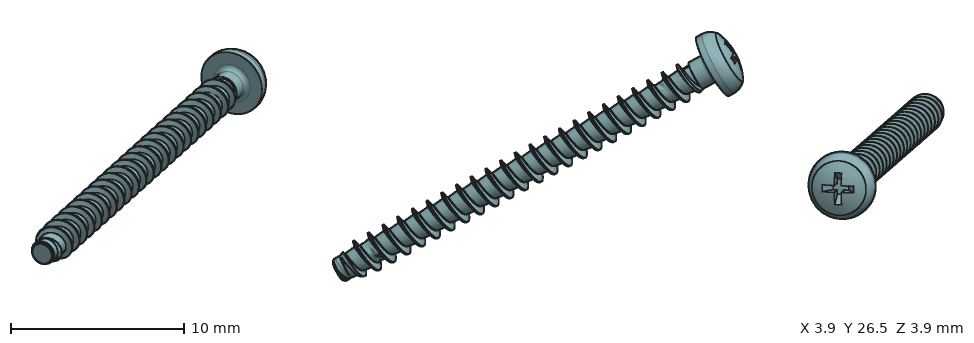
import cadquery as cq
import math


screw_length = 25.0
head_height = 1.47
head_radius = 1.95

rim_height = 0.40
shoulder_radius = 1.595
shoulder_height = 1.116
side_arc_bulge = 0.075

recess_arm_width = 0.40
recess_top_span = 2.0
recess_bottom_span = 0.9
recess_depth = 0.9

neck_radius = 0.875
neck_length = 1.116
seat_fillet = 0.30
core_radius = 0.68
tip_chamfer = 0.06

thread_radius = 1.10
pitch = 0.98
crest_width = 0.10
flank_angle = 15.0
root_radius = 0.64
ridge_radius = 0.77
slope_end_radius = 0.70
section_length = 0.95
crossing_height = -1.743
turns_below_crossing = 24
turns_in_all = 25

start_height = -neck_length
start_radius = 0.89
full_thread_top = -1.85
full_thread_bottom = -23.55
end_height = -24.45
end_radius = 0.73
ridge_end = -24.88


def make_head_and_neck():
    corner_radius = recess_arm_width / math.sqrt(2)
    crown_centre_height = (
        head_height**2 + corner_radius**2 - shoulder_height**2 - shoulder_radius**2
    ) / (2 * (head_height - shoulder_height))
    crown_radius = math.hypot(shoulder_radius, shoulder_height - crown_centre_height)
    half_angle = math.asin(shoulder_radius / crown_radius) / 2
    crown_middle = (
        crown_radius * math.sin(half_angle),
        crown_centre_height + crown_radius * math.cos(half_angle),
    )

    chord_out = head_radius - shoulder_radius
    chord_up = shoulder_height - rim_height
    chord = math.hypot(chord_out, chord_up)
    side_middle = (
        (head_radius + shoulder_radius) / 2 + side_arc_bulge * chord_up / chord,
        (rim_height + shoulder_height) / 2 + side_arc_bulge * chord_out / chord,
    )

    fillet_offset = seat_fillet * (1 - math.sqrt(0.5))
    profile = (
        cq.Workplane("XZ")
        .moveTo(0, crown_centre_height + crown_radius)
        .threePointArc(crown_middle, (shoulder_radius, shoulder_height))
        .threePointArc(side_middle, (head_radius, rim_height))
        .lineTo(head_radius, 0)
        .lineTo(neck_radius + seat_fillet, 0)
        .threePointArc(
            (neck_radius + fillet_offset, -fillet_offset),
            (neck_radius, -seat_fillet),
        )
        .lineTo(neck_radius, -neck_length)
        .lineTo(0, -neck_length)
        .close()
    )
    return profile.revolve(360, (0, 0, 0), (0, 1, 0))


def make_core():
    core = cq.Workplane("XY").circle(core_radius).extrude(-screw_length)
    return core.faces("<Z").chamfer(tip_chamfer)


def make_recess_arm(turn):
    margin = head_height - shoulder_height
    half_top = recess_top_span / 2
    half_bottom = recess_bottom_span / 2
    floor = head_height - recess_depth
    arm = (
        cq.Workplane("XZ")
        .moveTo(-half_bottom, floor)
        .lineTo(half_bottom, floor)
        .lineTo(half_top, head_height)
        .lineTo(half_top, head_height + margin)
        .lineTo(-half_top, head_height + margin)
        .lineTo(-half_top, head_height)
        .close()
        .extrude(recess_arm_width / 2, both=True)
    )
    return arm.rotate((0, 0, 0), (0, 0, 1), turn)


def make_thread():
    bottom = crossing_height - turns_below_crossing * pitch
    slope = math.tan(math.radians(flank_angle))
    half_crest = crest_width / 2
    half_root = half_crest + (thread_radius - root_radius) * slope
    half_ridge = half_crest + (thread_radius - ridge_radius) * slope
    slope_end = half_root - section_length
    helix = cq.Wire.makeHelix(pitch, turns_in_all * pitch, thread_radius)
    section = (
        cq.Workplane("XZ")
        .moveTo(root_radius, half_root)
        .lineTo(thread_radius, half_crest)
        .lineTo(thread_radius, -half_crest)
        .lineTo(ridge_radius, -half_ridge)
        .lineTo(slope_end_radius, slope_end)
        .lineTo(root_radius, slope_end)
        .close()
    )
    thread = section.sweep(cq.Workplane(helix), isFrenet=True).translate((0, 0, bottom))
    return thread.intersect(make_thread_envelope())


def make_thread_envelope():
    outside = thread_radius + crest_width
    start_slope = (thread_radius - start_radius) / (start_height - full_thread_top)
    end_slope = (thread_radius - end_radius) / (full_thread_bottom - end_height)
    return (
        cq.Workplane("XZ")
        .moveTo(0, start_height)
        .lineTo(start_radius, start_height)
        .lineTo(outside, full_thread_top - crest_width / start_slope)
        .lineTo(outside, full_thread_bottom + crest_width / end_slope)
        .lineTo(end_radius, end_height)
        .lineTo(end_radius, ridge_end)
        .lineTo(0, ridge_end)
        .close()
        .revolve(360, (0, 0, 0), (0, 1, 0))
    )


head = make_head_and_neck()
for turn in (0, 90):
    head = head.cut(make_recess_arm(turn))
screw = make_core().union(make_thread()).union(head)

result = screw.rotate((0, 0, 0), (1, 0, 0), -90)